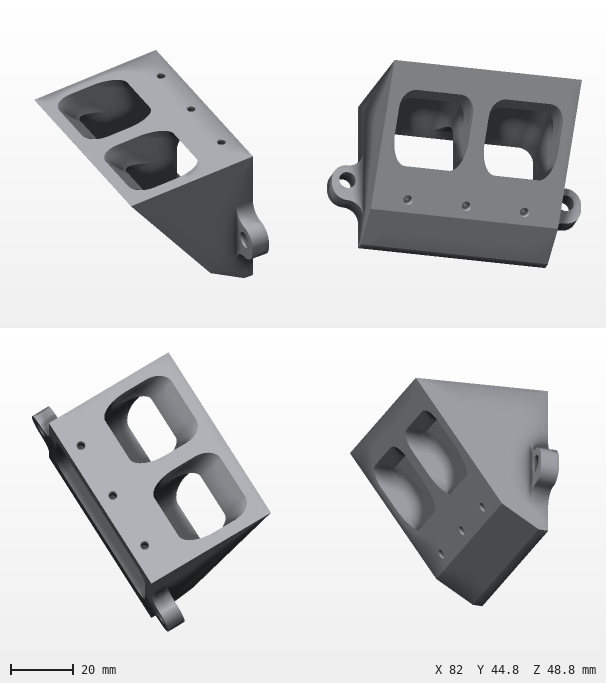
import cadquery as cq
import math

BODY_WIDTH = 61.7
BACK_HEIGHT = 48.8
BODY_DEPTH = 44.8
FRONT_TIP_HEIGHT = 46.6
BOTTOM_FLAT_DEPTH = 3.2
KNEE_DEPTH = 15.6
KNEE_HEIGHT = 7.1

TOP_SLOPE = (BACK_HEIGHT - FRONT_TIP_HEIGHT) / BODY_DEPTH
FRONT_SLOPE = (FRONT_TIP_HEIGHT - KNEE_HEIGHT) / (BODY_DEPTH - KNEE_DEPTH)

DUCT_WIDTH = 24.3
DUCT_SPACING = 29.5
DUCT_CORNER_RADIUS = 4.9
TOP_WINDOW_BACK = 15.7
TOP_WINDOW_FRONT = 40.6
FRONT_WINDOW_BOTTOM = 24.5
FRONT_WINDOW_TOP = 39.45
DUCT_FALL_ANGLE = 25.0
TIP_UPPER_ANGLE = 44.0
REAR_POCKET_DEPTH = 11.65
REAR_POCKET_HEIGHT = 42.2
REAR_POCKET_RADIUS = 6.0

SCREW_DIAMETER = 2.5
SCREW_MOUTH_DIAMETER = 3.0
SCREW_DEPTH = 4.1
SCREW_POINT_ANGLE = 118.0
SCREW_SPACING = 19.2
TOP_SCREW_DEPTH = 4.8
FRONT_SCREW_DEPTH = 18.0

OVERALL_WIDTH = 82.0
EAR_THICKNESS = 6.1
EAR_RADIUS = (OVERALL_WIDTH - BODY_WIDTH) / 4
EAR_HOLE_DIAMETER = 5.4
EAR_HOLE_HEIGHT = 20.5
EAR_FLAT = 1.9

OVERCUT = 8.2


def top_height(depth):
    """Height of the top face at a distance in front of the back plane."""
    return BACK_HEIGHT - TOP_SLOPE * depth


def front_height(depth):
    """Height of the sloped front face at a distance in front of the back plane."""
    return KNEE_HEIGHT + FRONT_SLOPE * (depth - KNEE_DEPTH)


def side_prism(points, width):
    """Extrude a (depth, height) outline symmetrically along X."""
    outline = [(-depth, height) for depth, height in points]
    return cq.Workplane("YZ").polyline(outline).close().extrude(width / 2, both=True)


def make_body():
    return side_prism(
        [
            (0, 0),
            (BOTTOM_FLAT_DEPTH, 0),
            (KNEE_DEPTH, KNEE_HEIGHT),
            (BODY_DEPTH, FRONT_TIP_HEIGHT),
            (0, BACK_HEIGHT),
        ],
        BODY_WIDTH,
    )


def make_cavity(width):
    """Cavity of one width, open through both windows and the back, with rounded corners."""
    fall = math.tan(math.radians(DUCT_FALL_ANGLE))
    tip_fall = math.tan(math.radians(TIP_UPPER_ANGLE))
    ceiling_height = top_height(TOP_WINDOW_BACK)
    floor_height = front_height(FRONT_WINDOW_BOTTOM)
    tip_height = front_height(FRONT_WINDOW_TOP)
    tip_start_height = top_height(TOP_WINDOW_FRONT)
    tip_depth = TOP_WINDOW_FRONT - (tip_start_height - tip_height) / tip_fall

    ceiling_front = TOP_WINDOW_BACK + OVERCUT
    tip_upper_front = TOP_WINDOW_FRONT + OVERCUT
    floor_front = FRONT_WINDOW_BOTTOM + OVERCUT
    tip_lower_front = FRONT_WINDOW_TOP + OVERCUT
    cavity = side_prism(
        [
            (-OVERCUT, ceiling_height - fall * (TOP_WINDOW_BACK + OVERCUT)),
            (ceiling_front, ceiling_height + fall * OVERCUT),
            (tip_upper_front, tip_start_height + tip_fall * OVERCUT),
            (tip_depth, tip_height),
            (tip_lower_front, tip_height),
            (floor_front, floor_height + fall * OVERCUT),
            (-OVERCUT, floor_height - fall * (FRONT_WINDOW_BOTTOM + OVERCUT)),
        ],
        width,
    )
    return cavity.faces(">X or <X").edges().fillet(DUCT_CORNER_RADIUS)


def make_ducts():
    duct = make_cavity(DUCT_WIDTH).translate((DUCT_SPACING / 2, 0, 0))
    return duct.union(duct.mirror("YZ"))


def make_rear_pocket():
    """Back end of the cavity, wide enough to take in both ducts."""
    width = DUCT_SPACING + DUCT_WIDTH
    rear_zone = side_prism(
        [
            (-OVERCUT, 0),
            (REAR_POCKET_DEPTH, 0),
            (REAR_POCKET_DEPTH, REAR_POCKET_HEIGHT),
            (-OVERCUT, REAR_POCKET_HEIGHT),
        ],
        width,
    )
    rear_zone = rear_zone.faces("<Y").edges(">Z").fillet(REAR_POCKET_RADIUS)
    return make_cavity(width).intersect(rear_zone)


def make_screw_holes(depth, height, inward_y, inward_z):
    """Row of three pointed, countersunk blind holes along X, bored in the given direction."""
    bore_radius = SCREW_DIAMETER / 2
    mouth_radius = SCREW_MOUTH_DIAMETER / 2
    point_length = bore_radius / math.tan(math.radians(SCREW_POINT_ANGLE / 2))
    half_section = [
        (0, 0),
        (mouth_radius, 0),
        (bore_radius, mouth_radius - bore_radius),
        (bore_radius, SCREW_DEPTH),
        (0, SCREW_DEPTH + point_length),
    ]
    holes = cq.Workplane()
    for index in (-1, 0, 1):
        entry = cq.Plane(
            origin=(index * SCREW_SPACING, -depth, height),
            xDir=(0, inward_z, -inward_y),
            normal=(1, 0, 0),
        )
        hole = cq.Workplane(entry).polyline(half_section).close().revolve(360, (0, 0), (0, 1))
        holes = holes.union(hole)
    return holes


def make_ear():
    """Ear on the +X side: rounded lobe blended into the body, with a plain hole."""
    root = BODY_WIDTH / 2
    lobe_x = root + EAR_RADIUS
    tip = OVERALL_WIDTH / 2
    upper = EAR_HOLE_HEIGHT
    lower = EAR_HOLE_HEIGHT - EAR_FLAT
    diagonal = EAR_RADIUS * math.sqrt(0.5)
    blend_top = upper + 2 * EAR_RADIUS
    blend_bottom = lower - 2 * EAR_RADIUS
    ear = (
        cq.Workplane("XZ")
        .moveTo(root, blend_top)
        .threePointArc((lobe_x - diagonal, blend_top - diagonal), (lobe_x, upper + EAR_RADIUS))
        .threePointArc((lobe_x + diagonal, upper + diagonal), (tip, upper))
        .lineTo(tip, lower)
        .threePointArc((lobe_x + diagonal, lower - diagonal), (lobe_x, lower - EAR_RADIUS))
        .threePointArc((lobe_x - diagonal, blend_bottom + diagonal), (root, blend_bottom))
        .close()
        .extrude(EAR_THICKNESS)
    )
    hole = (
        cq.Workplane("XZ")
        .center(lobe_x, EAR_HOLE_HEIGHT)
        .circle(EAR_HOLE_DIAMETER / 2)
        .extrude(EAR_THICKNESS)
    )
    return ear.cut(hole)


ear = make_ear()
result = make_body().union(ear).union(ear.mirror("YZ"))

result = result.cut(make_ducts()).cut(make_rear_pocket())

top_holes = make_screw_holes(TOP_SCREW_DEPTH, top_height(TOP_SCREW_DEPTH), TOP_SLOPE, -1)
front_holes = make_screw_holes(FRONT_SCREW_DEPTH, front_height(FRONT_SCREW_DEPTH), FRONT_SLOPE, 1)
result = result.cut(top_holes).cut(front_holes)